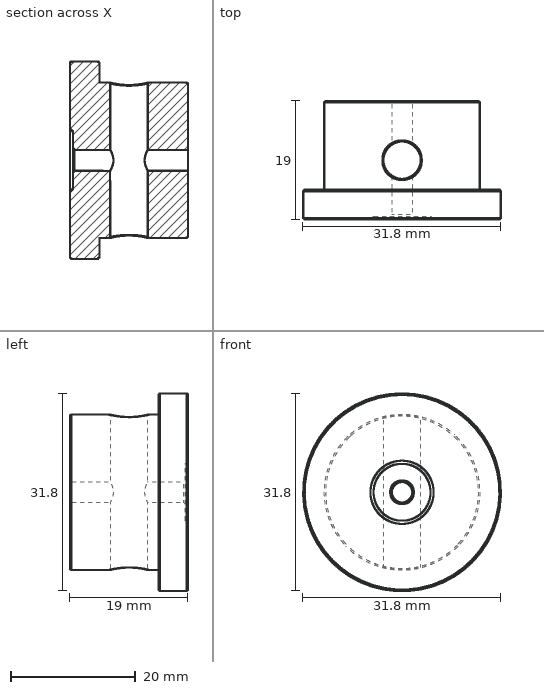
import cadquery as cq

total_length = 19.0
flange_diameter = 31.75
flange_thickness = 4.7625
hub_diameter = 25.0
rim_chamfer = 0.25
foot_fillet = 0.1

recess_diameter = 10.15
recess_floor_diameter = 9.15
recess_depth = 0.5

axial_hole_diameter = 3.3
axial_hole_chamfer = 0.25

cross_hole_diameter = 6.0
cross_hole_chamfer = 0.18

front_y = -total_length / 2
flange_back_y = front_y + flange_thickness
recess_floor_y = front_y + recess_depth


def frustum(start_y, start_diameter, length, end_diameter):
    """Cone or cylinder on the part axis, growing from start_y toward +Y."""
    profile = (
        cq.Workplane("YZ")
        .moveTo(start_y, 0)
        .lineTo(start_y, start_diameter / 2)
        .lineTo(start_y + length, end_diameter / 2)
        .lineTo(start_y + length, 0)
        .close()
    )
    return profile.revolve(360, (0, 0, 0), (1, 0, 0))


def make_body():
    """Flange and hub with chamfered rims and a small fillet at the hub foot."""
    flange = frustum(front_y, flange_diameter, flange_thickness, flange_diameter)
    flange = flange.faces("<Y or >Y").edges().chamfer(rim_chamfer)
    hub_length = total_length - flange_thickness
    hub = frustum(flange_back_y, hub_diameter, hub_length, hub_diameter)
    hub = hub.faces(">Y").edges().chamfer(rim_chamfer)
    foot_circle = cq.selectors.BoxSelector(
        (-hub_diameter, flange_back_y - foot_fillet, -hub_diameter),
        (hub_diameter, flange_back_y + foot_fillet, hub_diameter),
    )
    inner_circle = cq.selectors.RadiusNthSelector(0)
    return flange.union(hub).edges(foot_circle).edges(inner_circle).fillet(foot_fillet)


def cut_cross_hole(body):
    """Drill the cross hole through the hub and break both of its rims."""
    drill = cq.Workplane("XY").circle(cross_hole_diameter / 2).extrude(hub_diameter, both=True)
    rim_reach = cross_hole_diameter / 2 + cross_hole_chamfer
    rims = cq.selectors.BoxSelector(
        (-rim_reach, -rim_reach, -hub_diameter),
        (rim_reach, rim_reach, hub_diameter),
        boundingbox=True,
    )
    drilled = body.cut(drill)
    return drilled.edges(rims).edges("not |Z").chamfer(cross_hole_chamfer)


def cut_axial_features(body):
    """Cut the tapered recess, the axial through hole and its entry chamfer."""
    recess = frustum(front_y, recess_diameter, recess_depth, recess_floor_diameter)
    hole = frustum(front_y, axial_hole_diameter, total_length, axial_hole_diameter)
    entry_diameter = axial_hole_diameter + 2 * axial_hole_chamfer
    entry = frustum(recess_floor_y, entry_diameter, axial_hole_chamfer, axial_hole_diameter)
    return body.cut(recess).cut(hole).cut(entry)


result = cut_axial_features(cut_cross_hole(make_body()))